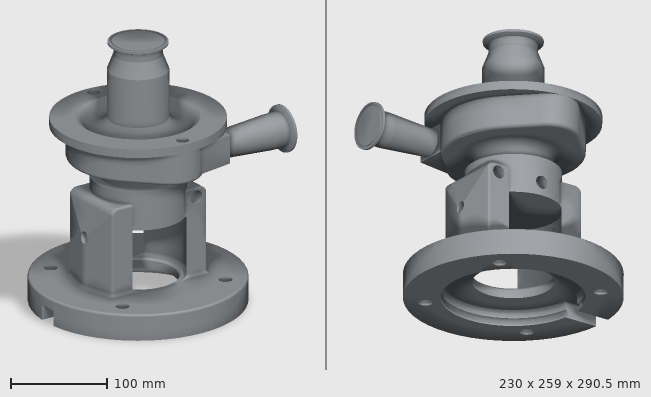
import cadquery as cq
import math

total_height = 290.5

base_radius = 115.0
base_height = 29.0
base_edge = 2.5
base_bore_radius = 42.7
base_bore_chamfer = 2.0
recess_radius = 75.5
recess_height = 17.5
recess_rounding = 3.0
groove_radius = 3.5
groove_level = 5.2
bolt_hole_radius = 7.3
bolt_circle_radius = 92.5
key_slot_width = 21.0
key_slot_rounding = 2.0

post_half_width = 39.0
post_top = 127.0
post_bore_radius = 51.7
post_ridge_depth = 69.0
post_ridge_half_width = 2.3
post_side_depth = 59.8
post_lean_angle = 13.5
post_peak_level = 85.0
post_top_rounding = 9.3
post_edge_rounding = 2.5
post_foot_rounding = 4.0
post_hole_radius = 6.5
post_slit_half_width = 1.2
cross_hole_radius = 7.3
cross_hole_y = 47.0
cross_hole_level = 116.8

collar_radius = 50.8
collar_bottom = 98.0
collar_top = 141.0
collar_hole_radius = 7.3
collar_hole_level = 112.7
collar_hole_depth = 14.5
neck_radius = 41.3
neck_rounding = 10.0

casing_bottom = 160.5
casing_radius = 75.5
ear_offset = 57.8
ear_radius = casing_radius - ear_offset * math.sqrt(0.5)
casing_edge = 3.8
boss_face_y = 62.5
boss_corner_x = 78.0
boss_end_x = 86.5
boss_end_y = 14.5

flange_bottom = 196.0
flange_top = 205.7
flange_radius = 92.7
stud_offset = 81.0
stud_clearance_radius = 7.0
stud_thread_radius = 5.2
stud_thread_depth = 23.2
drill_point_height = 3.0
dish_rim_radius = 64.8
dish_floor_radius = 57.8
dish_chamfer_depth = 5.5

inlet_radius = 32.5
inlet_shoulder = 259.0
inlet_neck_start = 276.5
inlet_neck_radius = 25.9
inlet_rim_radius = 31.8

outlet_x = 57.8
outlet_level = 178.0
outlet_end_y = 144.0
outlet_rim_radius = 25.5
outlet_neck_radius = 19.2
outlet_neck_start_y = 124.0
outlet_root_y = 66.2
outlet_root_radius = 15.0
outlet_tip_radius = 11.5

rim_thickness = 2.5
ferrule_height = 5.2
seal_inset = 1.7
seal_width = 2.5
seal_depth = 1.2


def disc(radius, bottom, top):
    return cq.Workplane("XY", origin=(0, 0, bottom)).circle(radius).extrude(top - bottom)


def ferrule_outline(sketch, neck_radius_, rim_radius, end):
    """Continue a (radius, height) outline up a ferrule and back to the axis, with a seal groove."""
    seal_outer = rim_radius - seal_inset
    seal_inner = seal_outer - seal_width
    return (
        sketch
        .lineTo(neck_radius_, end - ferrule_height)
        .lineTo(rim_radius, end - rim_thickness)
        .lineTo(rim_radius, end)
        .lineTo(seal_outer, end)
        .lineTo(seal_outer, end - seal_depth)
        .lineTo(seal_inner, end - seal_depth)
        .lineTo(seal_inner, end)
        .lineTo(0, end)
        .close()
    )


def base_openings():
    """Everything cut from the base plate: central bore, bolt holes, underside recess and key slot."""
    bolt_holes = (
        cq.Workplane("XY")
        .polarArray(bolt_circle_radius, 45, 360, 4)
        .circle(bolt_hole_radius)
        .extrude(base_height)
    )
    key_slot = (
        cq.Workplane("XY", origin=(0, -base_radius / 2, 0))
        .rect(key_slot_width, base_radius)
        .extrude(recess_height)
        .edges("|Y and >Z").fillet(key_slot_rounding)
    )
    ring_groove = (
        cq.Workplane("XZ")
        .moveTo(recess_radius, groove_level - groove_radius)
        .threePointArc(
            (recess_radius + groove_radius, groove_level),
            (recess_radius, groove_level + groove_radius),
        )
        .lineTo(0, groove_level + groove_radius)
        .lineTo(0, groove_level - groove_radius)
        .close()
        .revolve(360, (0, 0), (0, 1))
    )
    recess = disc(recess_radius, 0, recess_height).faces(">Z").edges().fillet(recess_rounding)
    bore = disc(base_bore_radius, 0, base_height)
    bore_chamfer = cq.Workplane("XY").add(
        cq.Solid.makeCone(
            base_bore_radius,
            base_bore_radius + base_bore_chamfer,
            base_bore_chamfer,
            pnt=cq.Vector(0, 0, base_height - base_bore_chamfer),
        )
    )
    return bore.union(bore_chamfer).union(recess).union(ring_groove).union(key_slot).union(bolt_holes)


def make_front_post():
    """Post on the -Y side: two faces slope to a central ridge, and a third leans in at the top."""
    body = (
        cq.Workplane("XY")
        .moveTo(-post_half_width, 0)
        .lineTo(-post_half_width, -post_side_depth)
        .lineTo(-post_ridge_half_width, -post_ridge_depth)
        .lineTo(post_ridge_half_width, -post_ridge_depth)
        .lineTo(post_half_width, -post_side_depth)
        .lineTo(post_half_width, 0)
        .close()
        .extrude(post_top)
        .faces("<X or >X").edges("|Z and (not >Y)").fillet(post_edge_rounding)
    )
    lean_rise = post_top - post_peak_level
    lean_top_depth = post_ridge_depth - lean_rise * math.tan(math.radians(post_lean_angle))
    leaning_block = (
        cq.Workplane("YZ", origin=(-post_half_width, 0, 0))
        .moveTo(0, 0)
        .lineTo(-post_ridge_depth, 0)
        .lineTo(-post_ridge_depth, post_peak_level)
        .lineTo(-lean_top_depth, post_top)
        .lineTo(0, post_top)
        .close()
        .extrude(2 * post_half_width)
    )
    top_front_edge = cq.selectors.NearestToPointSelector((0, -lean_top_depth, post_top))
    leaning_block = leaning_block.edges(top_front_edge).fillet(post_top_rounding)
    top_side_edges = leaning_block.faces(">Z").edges("<X or >X")
    leaning_block = top_side_edges.fillet(post_edge_rounding)
    return body.intersect(leaning_block).cut(disc(post_bore_radius, 0, collar_bottom))


def make_stand():
    """Base plate and both posts, with fillets around the feet."""
    plate = disc(base_radius, 0, base_height).faces(">Z").edges().fillet(base_edge)
    front_post = make_front_post()
    stand = plate.union(front_post).union(front_post.mirror("XZ"))
    foot_edges = cq.selectors.BoxSelector(
        (-base_radius / 2, -base_radius + 2 * base_edge, base_height - 0.3),
        (base_radius / 2, base_radius - 2 * base_edge, base_height + 0.3),
        boundingbox=True,
    )
    return stand.edges(foot_edges).fillet(post_foot_rounding).cut(base_openings())


def ridge_holes():
    """Blind holes whose flat floors just break into the round inner face of each post as a slit."""
    floor_y = math.sqrt(post_bore_radius**2 - post_slit_half_width**2)
    hole = (
        cq.Workplane("XZ", origin=(0, -floor_y, post_peak_level))
        .circle(post_hole_radius)
        .extrude(post_ridge_depth)
    )
    return hole.union(hole.mirror("XZ"))


def make_casing():
    """Round casing with an ear on each side, joined by 45 degree tangent flats."""
    diagonal = math.sqrt(0.5)
    flat_round = casing_radius * diagonal
    flat_ear_x = ear_offset + ear_radius * diagonal
    flat_ear_y = ear_radius * diagonal
    ear_tip = ear_offset + ear_radius
    casing = (
        cq.Workplane("XY", origin=(0, 0, casing_bottom))
        .moveTo(flat_round, flat_round)
        .threePointArc((0, casing_radius), (-flat_round, flat_round))
        .lineTo(-flat_ear_x, flat_ear_y)
        .threePointArc((-ear_tip, 0), (-flat_ear_x, -flat_ear_y))
        .lineTo(-flat_round, -flat_round)
        .threePointArc((0, -casing_radius), (flat_round, -flat_round))
        .lineTo(flat_ear_x, -flat_ear_y)
        .threePointArc((ear_tip, 0), (flat_ear_x, flat_ear_y))
        .close()
        .extrude(flange_bottom - casing_bottom)
        .faces("<Z").edges().fillet(casing_edge)
    )
    outlet_boss = (
        cq.Workplane("XY", origin=(0, 0, casing_bottom + casing_edge))
        .polyline([
            (0, boss_end_y), (boss_end_x, boss_end_y),
            (boss_corner_x, boss_face_y), (0, boss_face_y),
        ])
        .close()
        .extrude(flange_bottom - casing_bottom - casing_edge)
    )
    return casing.union(outlet_boss)


def make_body():
    """Turned core: collar, flared neck, cover flange with its dish, and the inlet pipe."""
    flare_radius = neck_radius + neck_rounding
    flare_start = casing_bottom - neck_rounding
    flare_mid_radius = flare_radius - neck_rounding * math.sqrt(0.5)
    flare_mid_level = flare_start + neck_rounding * math.sqrt(0.5)
    dish_level = flange_top - dish_chamfer_depth
    outline = (
        cq.Workplane("XZ")
        .moveTo(0, collar_bottom)
        .lineTo(collar_radius, collar_bottom)
        .lineTo(collar_radius, collar_top)
        .lineTo(neck_radius, collar_top)
        .lineTo(neck_radius, flare_start)
        .threePointArc((flare_mid_radius, flare_mid_level), (flare_radius, casing_bottom))
        .lineTo(flare_radius, flange_bottom)
        .lineTo(flange_radius, flange_bottom)
        .lineTo(flange_radius, flange_top)
        .lineTo(dish_rim_radius, flange_top)
        .lineTo(dish_floor_radius, dish_level)
        .tangentArcPoint((inlet_radius, flange_top), relative=False)
        .lineTo(inlet_radius, inlet_shoulder)
        .lineTo(inlet_neck_radius, inlet_neck_start)
    )
    outline = ferrule_outline(outline, inlet_neck_radius, inlet_rim_radius, total_height)
    return outline.revolve(360, (0, 0), (0, 1))


def dish_space():
    """Space above the dish floor, kept clear of the casing below the flange."""
    dish_level = flange_top - dish_chamfer_depth
    return (
        cq.Workplane("XZ")
        .moveTo(inlet_radius, flange_top)
        .lineTo(dish_rim_radius, flange_top)
        .lineTo(dish_floor_radius, dish_level)
        .tangentArcPoint((inlet_radius, flange_top), relative=False)
        .close()
        .revolve(360, (0, 0), (0, 1))
    )


def make_outlet():
    """Tapered pipe along +Y, narrowing to a short cone where it meets the casing."""
    outline = (
        cq.Workplane("XY")
        .moveTo(0, 0)
        .lineTo(outlet_tip_radius, 0)
        .lineTo(outlet_tip_radius, boss_face_y)
        .lineTo(outlet_root_radius, outlet_root_y)
        .lineTo(outlet_neck_radius, outlet_neck_start_y)
    )
    outline = ferrule_outline(outline, outlet_neck_radius, outlet_rim_radius, outlet_end_y)
    pipe = outline.revolve(360, (0, 0), (0, 1))
    return pipe.translate((outlet_x, 0, outlet_level))


def stud_hole(x):
    """Clearance hole through the flange over a blind drilled hole with a pointed floor."""
    drill_floor = flange_bottom - stud_thread_depth
    return (
        cq.Workplane("XZ")
        .moveTo(0, drill_floor - drill_point_height)
        .lineTo(stud_thread_radius, drill_floor)
        .lineTo(stud_thread_radius, flange_bottom)
        .lineTo(stud_clearance_radius, flange_bottom)
        .lineTo(stud_clearance_radius, flange_top)
        .lineTo(0, flange_top)
        .close()
        .revolve(360, (0, 0), (0, 1))
        .translate((x, 0, 0))
    )


cross_hole = (
    cq.Workplane("YZ", origin=(-base_radius, cross_hole_y, cross_hole_level))
    .circle(cross_hole_radius)
    .extrude(2 * base_radius)
)
collar_hole = (
    cq.Workplane("YZ", origin=(-collar_radius, 0, collar_hole_level))
    .circle(collar_hole_radius)
    .extrude(collar_hole_depth)
)

pump = make_body().union(make_casing()).union(make_outlet()).cut(dish_space())
for side in (-1, 1):
    pump = pump.cut(stud_hole(side * stud_offset))

result = make_stand().cut(ridge_holes()).union(pump).cut(cross_hole).cut(collar_hole)